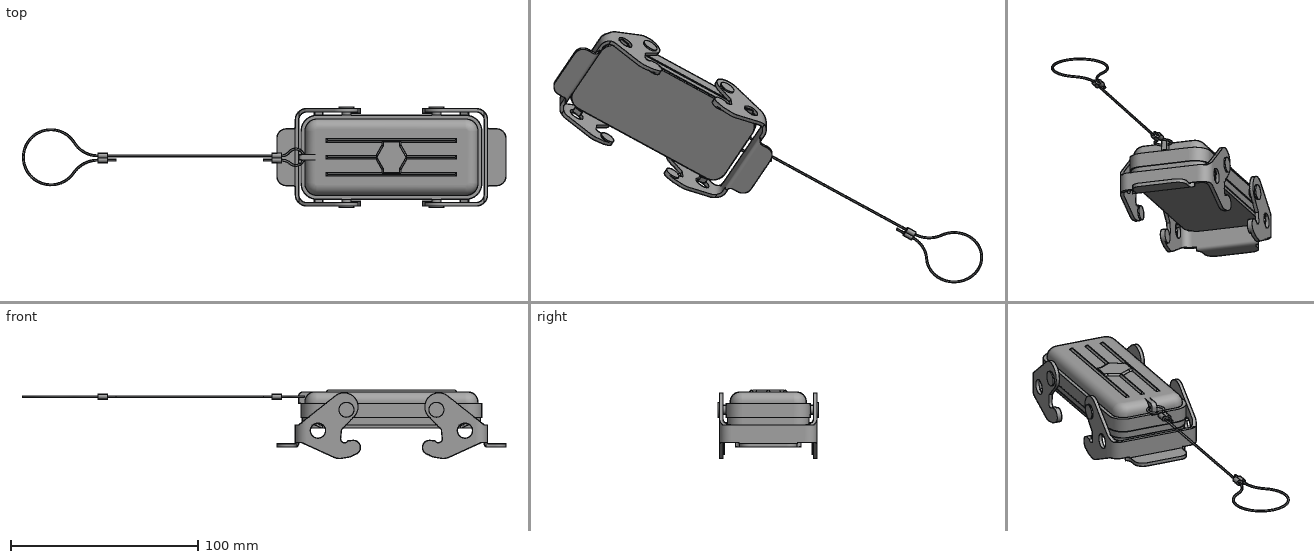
import cadquery as cq
import math


OVERALL_LENGTH = 258.5

RIM_LENGTH, RIM_WIDTH, RIM_CORNER = 96.6, 45.0, 8.5
RIM_BOTTOM_Z, RIM_TOP_Z = 22.0, 29.5
SKIRT_INSET, SKIRT_BOTTOM_Z = 0.65, 18.0
LIP_INSET, LIP_BOTTOM_Z = 1.0, 16.3
DOME_INSET, DOME_FILLET = 2.0, 5.5
DOME_TOP_Z = 35.7

RELIEF_TOP_Z = 36.7
RELIEF_HEIGHT = RELIEF_TOP_Z - DOME_TOP_Z
RELIEF_TAPER = 40
RIB_LENGTH, RIB_WIDTH, RIB_PITCH = 69.8, 2.0, 9.0
PAD_HALF_LENGTH, PAD_HALF_FLAT, PAD_SHOULDER_Y = 8.8, 5.2, 6.5

LUG_WIDTH = 2.8
LUG_TIP_X = -49.5
LUG_ROOT_X = -40.8
LUG_ROUND = 2.3

SHEET = 1.95
FRAME_END_X, FRAME_SIDE_Y, FRAME_CORNER = 51.5, 26.0, 6.2
FRAME_BOTTOM_Z, FRAME_TOP_Z = 8.5, 18.0
LOBE_CENTRE, LOBE_RADIUS = (-25.3, 27.6), 7.5
UPPER_EDGE_ANGLE = 38
NECK_EDGE_ANGLE = 47
NECK_END = (-26.5, 15.5)
THROAT_START, THROAT_LOW, THROAT_END = (-27.1, 10.3), (-25.0, 8.5), (-23.3, 9.5)
NOSE_CENTRE, NOSE_RADIUS, NOSE_PAD = (-20.5, 6.0), 4.0, 0.8
HEEL_RADIUS, HEEL_X = 7.8, -27.6
LOWER_EDGE_ANGLE = 24.6
HOOK_UNDERSIDE_ANGLE = 10
HOOK_UNDERSIDE_END = (-22.0, 0.9)
NOSE_START_ANGLE = -60
WINDOW_X, WINDOW_Z, WINDOW_DIAMETER = -39.3, 15.0, 8.0
TONGUE_LENGTH, TONGUE_THICKNESS, TONGUE_DEPTH = 4.7, 1.3, 1.8
TONGUE_X, TONGUE_Z, TONGUE_ANGLE = -39.0, 17.8, -25

TAB_TIP_X, TAB_HALF_WIDTH, TAB_CORNER = 61.2, 15.2, 5.2
TAB_TOP_Z = 8.0
TAB_ROOT_FLARE = 2.3

RIVET_X, RIVET_Z = 24.0, 26.0
RIVET_HEAD_DIAMETER, RIVET_SHANK_DIAMETER = 8.0, 5.0
RIVET_END_Y, RIVET_EMBED = 27.0, 2.0

CABLE_DIAMETER, CABLE_Z = 1.0, 33.0
CABLE_Y, TAIL_Y = 0.8, -1.5
FERRULE_DIAMETER, FERRULE_LENGTH = 2.8, 5.2
TAIL_LENGTH = 9.8
BIG_LOOP_RADIUS = 14.7
BIG_LOOP_X = TAB_TIP_X - OVERALL_LENGTH + BIG_LOOP_RADIUS + CABLE_DIAMETER / 2
BIG_LOOP_MOUTH_X = -156.8
SMALL_LOOP_X, SMALL_LOOP_RADIUS, SMALL_LOOP_MOUTH_X = -51.2, 4.5, -58.7


def on_circle(centre, radius, degrees):
    angle = math.radians(degrees)
    return (centre[0] + radius * math.cos(angle), centre[1] + radius * math.sin(angle))


def slab(inset, bottom_z, top_z):
    """Rounded rectangular layer of the cover, set in from the rim outline."""
    return (
        cq.Workplane("XY", origin=(0, 0, bottom_z))
        .rect(RIM_LENGTH - 2 * inset, RIM_WIDTH - 2 * inset)
        .extrude(top_z - bottom_z)
        .edges("|Z")
        .fillet(RIM_CORNER - inset)
    )


def make_cover():
    dome = slab(DOME_INSET, RIM_TOP_Z, DOME_TOP_Z).faces(">Z").edges().fillet(DOME_FILLET)
    return (
        slab(LIP_INSET, LIP_BOTTOM_Z, SKIRT_BOTTOM_Z)
        .union(slab(SKIRT_INSET, SKIRT_BOTTOM_Z, RIM_BOTTOM_Z))
        .union(slab(0, RIM_BOTTOM_Z, RIM_TOP_Z))
        .union(dome)
    )


def make_relief():
    """Three ridges and a pointed central pad with sloping sides."""
    top = cq.Workplane("XY", origin=(0, 0, DOME_TOP_Z))
    relief = (
        top.moveTo(-PAD_HALF_LENGTH, 0)
        .lineTo(-PAD_HALF_FLAT, PAD_SHOULDER_Y)
        .lineTo(-PAD_HALF_FLAT, RIB_PITCH)
        .lineTo(PAD_HALF_FLAT, RIB_PITCH)
        .lineTo(PAD_HALF_FLAT, PAD_SHOULDER_Y)
        .lineTo(PAD_HALF_LENGTH, 0)
        .lineTo(PAD_HALF_FLAT, -PAD_SHOULDER_Y)
        .lineTo(PAD_HALF_FLAT, -RIB_PITCH)
        .lineTo(-PAD_HALF_FLAT, -RIB_PITCH)
        .lineTo(-PAD_HALF_FLAT, -PAD_SHOULDER_Y)
        .close()
        .extrude(RELIEF_HEIGHT, taper=RELIEF_TAPER)
    )
    for row in (-1, 0, 1):
        rib = (
            top.center(0, row * RIB_PITCH)
            .rect(RIB_LENGTH, RIB_WIDTH)
            .extrude(RELIEF_HEIGHT, taper=RELIEF_TAPER)
        )
        relief = relief.union(rib)
    return relief


def make_lug():
    return (
        cq.Workplane("XZ")
        .moveTo(LUG_ROOT_X, RIM_TOP_Z)
        .lineTo(LUG_TIP_X, RIM_TOP_Z)
        .lineTo(LUG_TIP_X, DOME_TOP_Z - LUG_ROUND)
        .radiusArc((LUG_TIP_X + LUG_ROUND, DOME_TOP_Z), LUG_ROUND)
        .lineTo(LUG_ROOT_X, DOME_TOP_Z)
        .close()
        .extrude(LUG_WIDTH / 2, both=True)
    )


def lever_profile():
    """Side outline of the -X lever, extruded across the full width."""
    upper_tangent = on_circle(LOBE_CENTRE, LOBE_RADIUS, 90 + UPPER_EDGE_ANGLE)
    lobe_middle = on_circle(LOBE_CENTRE, LOBE_RADIUS, (UPPER_EDGE_ANGLE + NECK_EDGE_ANGLE) / 2)
    neck_tangent = on_circle(LOBE_CENTRE, LOBE_RADIUS, NECK_EDGE_ANGLE - 90)
    heel_centre = (HEEL_X, HEEL_RADIUS)
    heel_start = on_circle(heel_centre, HEEL_RADIUS, HOOK_UNDERSIDE_ANGLE - 90)
    heel_bottom = on_circle(heel_centre, HEEL_RADIUS, -90)
    heel_end = on_circle(heel_centre, HEEL_RADIUS, -90 - LOWER_EDGE_ANGLE)
    lower_run = (FRAME_BOTTOM_Z - heel_end[1]) / math.tan(math.radians(LOWER_EDGE_ANGLE))
    return (
        cq.Workplane("XZ")
        .moveTo(-FRAME_END_X, FRAME_BOTTOM_Z)
        .lineTo(-FRAME_END_X, FRAME_TOP_Z)
        .lineTo(-FRAME_END_X + SHEET, FRAME_TOP_Z)
        .lineTo(*upper_tangent)
        .threePointArc(lobe_middle, neck_tangent)
        .lineTo(*NECK_END)
        .lineTo(*THROAT_START)
        .threePointArc(THROAT_LOW, THROAT_END)
        .lineTo(*on_circle(NOSE_CENTRE, NOSE_RADIUS, 90))
        .threePointArc(
            on_circle(NOSE_CENTRE, NOSE_RADIUS, 0),
            on_circle(NOSE_CENTRE, NOSE_RADIUS, NOSE_START_ANGLE),
        )
        .lineTo(*HOOK_UNDERSIDE_END)
        .lineTo(*heel_start)
        .threePointArc(heel_bottom, heel_end)
        .lineTo(heel_end[0] - lower_run, FRAME_BOTTOM_Z)
        .close()
        .extrude(FRAME_SIDE_Y, both=True)
    )


def make_frame():
    """Sheet bent round the end of the cover, with a window in each side."""
    height = RELIEF_TOP_Z
    outer = (
        cq.Workplane("XY")
        .rect(2 * FRAME_END_X, 2 * FRAME_SIDE_Y)
        .extrude(height)
        .edges("|Z")
        .fillet(FRAME_CORNER)
    )
    inner = (
        cq.Workplane("XY")
        .rect(2 * (FRAME_END_X - SHEET), 2 * (FRAME_SIDE_Y - SHEET))
        .extrude(height)
        .edges("|Z")
        .fillet(FRAME_CORNER - SHEET)
    )
    window = (
        cq.Workplane("XZ")
        .center(WINDOW_X, WINDOW_Z)
        .circle(WINDOW_DIAMETER / 2)
        .extrude(FRAME_SIDE_Y, both=True)
    )
    return outer.cut(inner).intersect(lever_profile()).cut(window)


def make_tab():
    """Finger tab bent outwards from the foot of the frame."""
    side = (
        cq.Workplane("XZ")
        .moveTo(-FRAME_END_X + SHEET, FRAME_BOTTOM_Z)
        .lineTo(-FRAME_END_X, FRAME_BOTTOM_Z)
        .lineTo(-FRAME_END_X, TAB_TOP_Z)
        .lineTo(-TAB_TIP_X, TAB_TOP_Z)
        .lineTo(-TAB_TIP_X, TAB_TOP_Z - SHEET)
        .lineTo(-FRAME_END_X, TAB_TOP_Z - SHEET)
        .radiusArc((-FRAME_END_X + SHEET, TAB_TOP_Z), -SHEET)
        .close()
        .extrude(FRAME_SIDE_Y, both=True)
    )
    root_x = -FRAME_END_X + SHEET
    flare_x = -FRAME_END_X + SHEET / 2 - TAB_ROOT_FLARE
    root_half_width = TAB_HALF_WIDTH + TAB_ROOT_FLARE
    plan = (
        cq.Workplane("XY")
        .moveTo(root_x, -root_half_width)
        .lineTo(flare_x + TAB_ROOT_FLARE, -root_half_width)
        .radiusArc((flare_x, -TAB_HALF_WIDTH), -TAB_ROOT_FLARE)
        .lineTo(-TAB_TIP_X + TAB_CORNER, -TAB_HALF_WIDTH)
        .radiusArc((-TAB_TIP_X, -TAB_HALF_WIDTH + TAB_CORNER), TAB_CORNER)
        .lineTo(-TAB_TIP_X, TAB_HALF_WIDTH - TAB_CORNER)
        .radiusArc((-TAB_TIP_X + TAB_CORNER, TAB_HALF_WIDTH), TAB_CORNER)
        .lineTo(flare_x, TAB_HALF_WIDTH)
        .radiusArc((flare_x + TAB_ROOT_FLARE, root_half_width), -TAB_ROOT_FLARE)
        .lineTo(root_x, root_half_width)
        .close()
        .extrude(FRAME_BOTTOM_Z)
    )
    return side.intersect(plan)


def disc(x, z, diameter, inner_y, outer_y):
    """Round piece on the -Y side, its axis along Y."""
    return (
        cq.Workplane("XZ", origin=(x, -inner_y, z))
        .circle(diameter / 2)
        .extrude(outer_y - inner_y)
    )


def make_side_details():
    """Rivet, thickened hook nose and bent tongue on the -Y arm of the -X lever."""
    arm_inner_y = FRAME_SIDE_Y - SHEET
    mid_sheet_y = FRAME_SIDE_Y - SHEET / 2
    shank = disc(-RIVET_X, RIVET_Z, RIVET_SHANK_DIAMETER, RIM_WIDTH / 2 - RIVET_EMBED, RIVET_END_Y)
    head = disc(-RIVET_X, RIVET_Z, RIVET_HEAD_DIAMETER, mid_sheet_y, RIVET_END_Y)
    nose = disc(*NOSE_CENTRE, 2 * NOSE_RADIUS, arm_inner_y - NOSE_PAD, FRAME_SIDE_Y)
    tongue = (
        cq.Workplane("XZ", origin=(TONGUE_X, -arm_inner_y + TONGUE_DEPTH, TONGUE_Z))
        .transformed(rotate=(0, 0, TONGUE_ANGLE))
        .rect(TONGUE_LENGTH, TONGUE_THICKNESS)
        .extrude(TONGUE_DEPTH + SHEET / 2)
    )
    return shank.union(head).union(nose).union(tongue)


def make_lever():
    details = make_side_details()
    return make_frame().union(make_tab()).union(details).union(details.mirror("XZ"))


def loop_bend(loop_x, radius, mouth_x, strand_y):
    """Middle and end of the bend that leads a strand smoothly into a loop centred on Y = 0."""
    run = abs(mouth_x - loop_x)
    offset = abs(strand_y)
    side = math.copysign(1, strand_y)
    outward = math.copysign(1, loop_x - mouth_x)
    bend_radius = (run**2 + offset**2 - radius**2) / (2 * (radius - offset))
    bend_centre = (mouth_x, side * (offset + bend_radius))
    sweep = math.degrees(math.atan2(run, offset + bend_radius))

    def bend_point(degrees):
        angle = math.radians(degrees)
        x = bend_centre[0] + outward * bend_radius * math.sin(angle)
        return (x, bend_centre[1] - side * bend_radius * math.cos(angle))

    return bend_point(sweep / 2), bend_point(sweep)


def add_loop(path, loop_x, radius, mouth_x, y_in, y_out):
    """Extend the cable path from one strand round a loop and back to the other strand."""
    far_point = (loop_x + math.copysign(radius, loop_x - mouth_x), 0)
    middle_in, end_in = loop_bend(loop_x, radius, mouth_x, y_in)
    middle_out, end_out = loop_bend(loop_x, radius, mouth_x, y_out)
    return (
        path.threePointArc(middle_in, end_in)
        .threePointArc(far_point, end_out)
        .threePointArc(middle_out, (mouth_x, y_out))
    )


def make_cable():
    tail_start_x = BIG_LOOP_MOUTH_X + TAIL_LENGTH
    path = (
        cq.Workplane("XY", origin=(0, 0, CABLE_Z))
        .moveTo(tail_start_x, TAIL_Y)
        .lineTo(BIG_LOOP_MOUTH_X, TAIL_Y)
    )
    path = add_loop(path, BIG_LOOP_X, BIG_LOOP_RADIUS, BIG_LOOP_MOUTH_X, TAIL_Y, CABLE_Y)
    path = path.lineTo(SMALL_LOOP_MOUTH_X, CABLE_Y)
    path = add_loop(path, SMALL_LOOP_X, SMALL_LOOP_RADIUS, SMALL_LOOP_MOUTH_X, CABLE_Y, TAIL_Y)
    path = path.lineTo(SMALL_LOOP_MOUTH_X - TAIL_LENGTH, TAIL_Y)
    cable = (
        cq.Workplane("YZ", origin=(tail_start_x, TAIL_Y, CABLE_Z))
        .circle(CABLE_DIAMETER / 2)
        .sweep(path)
    )
    for start_x in (BIG_LOOP_MOUTH_X, SMALL_LOOP_MOUTH_X - FERRULE_LENGTH):
        for y in (CABLE_Y, TAIL_Y):
            sleeve = (
                cq.Workplane("YZ", origin=(start_x, y, CABLE_Z))
                .circle(FERRULE_DIAMETER / 2)
                .extrude(FERRULE_LENGTH)
            )
            cable = cable.union(sleeve)
    return cable


lever = make_lever()
result = (
    make_cover()
    .union(make_relief())
    .union(make_lug())
    .union(lever)
    .union(lever.mirror("YZ"))
    .union(make_cable())
)